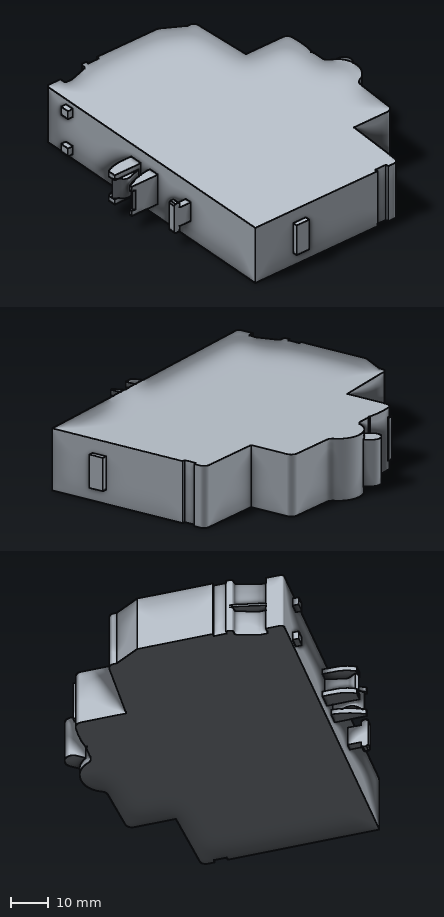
import cadquery as cq

TOTAL_LENGTH = 90.7
THICKNESS = 17.8
MID_Z = THICKNESS / 2
TAB_DEPTH = 1.45
HOUSING_RIGHT = TOTAL_LENGTH - TAB_DEPTH

SHOULDER_Y = 50.5
SHOULDER_DROP = 1.1
CENTRE_LEFT = 24.2
CENTRE_RIGHT = 69.3
CENTRE_TOP = 64.85
CENTRE_RIGHT_TOP = 65.4
CENTRE_DROP = 1.45
BEVEL_X = 4.0
BEVEL_LOW_Y = 40.1
BEVEL_HIGH_Y = 47.0
COVER_END_X = 34.3
COVER_BULGE = 0.45
COVER_STEP = 0.4
COVER_GAP = 0.8

DOME_X = 46.7
DOME_Y = 63.2
DOME_RADIUS = 6.8
HANDLE_TIP_X = 41.2
HANDLE_TIP_Y = 70.4
HANDLE_RADIUS = 2.4
HANDLE_WIDTH = 13.3

GROOVE_DEPTH = 0.9
GROOVE_HEIGHT = 3.6
LEFT_GROOVE_Y = 15.4
RIGHT_GROOVE_Y = 42.2

FOOT_LEFT = 2.0
RECESS_FLOOR_X = 4.0
RECESS_LOW_Y = 4.9
RECESS_BEND_Y = 7.3
RECESS_TOP_Y = 13.5
RIB_THICKNESS = 0.7
RIB_Z = 8.5
RIB_TOP_Y = 14.5

RADIUS_FOOT = 1.0
RADIUS_RECESS_LOW = 0.4
RADIUS_RECESS_TOP = 0.8
RADIUS_TOOTH = 0.8
RADIUS_CENTRE = 2.0
RADIUS_SHOULDER = 1.7
RADIUS_DOME = 2.0

TAB_Y = 13.1
TAB_HEIGHT = 4.35
TAB_WIDTH = 9.5
INDICATOR_X = 25.1
INDICATOR_LENGTH = 1.45
INDICATOR_TOP = 65.6
INDICATOR_HEIGHT = 2.0
INDICATOR_WIDTH = 12.3
PEG_X = 10.25
PEG_LENGTH = 2.9
PEG_DEPTH = 1.7
PEG_WIDTH = 2.5
PEG_SPACING = 12.0

CLIP_WIDTH = 9.4
CLIP_INNER_WIDTH = 6.2
PLATE_THICKNESS = (CLIP_WIDTH - CLIP_INNER_WIDTH) / 2
PLATE_DEPTH = 9.1
LEAF_DEPTH = 9.2
ROOT = 0.9

SLIDE_X = 60.2
SLIDE_THICKNESS = 2.1
SLIDE_DEPTH = 5.7
SLIDE_HEAD_DEPTH = 1.9
SLIDE_HEAD_WIDTH = 9.4
SLIDE_STEM_WIDTH = 6.0
SLIDE_CHAMFER = 0.45


def box(x, y, z, length, height, width):
    """Box with its lowest corner at x, y, z."""
    return cq.Workplane("XY").box(length, height, width, centered=False).translate((x, y, z))


def centred_box(x, y, length, height, width):
    """Box placed symmetrically about the mid-plane."""
    return box(x, y, MID_Z - width / 2, length, height, width)


def round_corner(solid, x, y, radius):
    """Round the Z-parallel edge nearest to x, y."""
    corner = cq.NearestToPointSelector((x, y, THICKNESS / 2))
    return solid.edges("|Z").edges(corner).fillet(radius)


def housing():
    """Flat moulded body with its dome, rounded corners, recess and end grooves."""
    shoulder_end_y = SHOULDER_Y - SHOULDER_DROP
    centre_end_y = CENTRE_RIGHT_TOP - CENTRE_DROP
    cover_mid_x = (CENTRE_LEFT + COVER_END_X) / 2
    body = (
        cq.Workplane("XY")
        .moveTo(FOOT_LEFT, 0)
        .lineTo(HOUSING_RIGHT, 0)
        .lineTo(HOUSING_RIGHT, shoulder_end_y)
        .lineTo(CENTRE_RIGHT, SHOULDER_Y)
        .lineTo(CENTRE_RIGHT, centre_end_y)
        .lineTo(DOME_X, CENTRE_RIGHT_TOP)
        .lineTo(DOME_X, CENTRE_TOP)
        .lineTo(COVER_END_X + COVER_GAP, CENTRE_TOP)
        .lineTo(COVER_END_X, CENTRE_TOP - COVER_STEP)
        .lineTo(COVER_END_X, CENTRE_TOP)
        .threePointArc((cover_mid_x, CENTRE_TOP + COVER_BULGE), (CENTRE_LEFT, CENTRE_TOP))
        .lineTo(CENTRE_LEFT, SHOULDER_Y)
        .lineTo(BEVEL_X, shoulder_end_y)
        .lineTo(BEVEL_X, BEVEL_HIGH_Y)
        .lineTo(0, BEVEL_LOW_Y)
        .lineTo(0, RECESS_TOP_Y)
        .lineTo(FOOT_LEFT, RECESS_TOP_Y)
        .lineTo(RECESS_FLOOR_X, RECESS_BEND_Y)
        .lineTo(RECESS_FLOOR_X, RECESS_LOW_Y)
        .lineTo(FOOT_LEFT, RECESS_LOW_Y)
        .close()
        .extrude(THICKNESS)
    )
    dome = cq.Workplane("XY").center(DOME_X, DOME_Y).circle(DOME_RADIUS).extrude(THICKNESS)
    body = body.union(dome)

    for side in (-1, 1):
        body = round_corner(body, DOME_X + side * DOME_RADIUS, CENTRE_TOP, RADIUS_DOME)
    for x, y, radius in (
        (FOOT_LEFT, 0, RADIUS_FOOT),
        (RECESS_FLOOR_X, RECESS_LOW_Y, RADIUS_RECESS_LOW),
        (FOOT_LEFT, RECESS_TOP_Y, RADIUS_RECESS_TOP),
        (0, RECESS_TOP_Y, RADIUS_TOOTH),
        (BEVEL_X, shoulder_end_y, RADIUS_SHOULDER),
        (HOUSING_RIGHT, shoulder_end_y, RADIUS_SHOULDER),
        (CENTRE_LEFT, CENTRE_TOP, RADIUS_CENTRE),
        (CENTRE_RIGHT, centre_end_y, RADIUS_CENTRE),
    ):
        body = round_corner(body, x, y, radius)

    left_groove = box(0, LEFT_GROOVE_Y, 0, GROOVE_DEPTH, GROOVE_HEIGHT, THICKNESS)
    right_groove = box(
        HOUSING_RIGHT - GROOVE_DEPTH, RIGHT_GROOVE_Y, 0, GROOVE_DEPTH, GROOVE_HEIGHT, THICKNESS
    )
    return body.cut(left_groove).cut(right_groove)


def recess_rib():
    """Thin wall that divides the recess into an upper and a lower half."""
    outline = [
        (0, RIB_TOP_Y),
        (0, RECESS_TOP_Y),
        (FOOT_LEFT, RECESS_LOW_Y),
        (RECESS_FLOOR_X + ROOT, RECESS_LOW_Y),
        (RECESS_FLOOR_X + ROOT, RIB_TOP_Y),
    ]
    rib = cq.Workplane("XY").polyline(outline).close().extrude(RIB_THICKNESS)
    return rib.translate((0, 0, RIB_Z - RIB_THICKNESS / 2))


def handle():
    """Toggle lever pointing from the dome centre, with a round tip."""
    reach = cq.Vector(HANDLE_TIP_X - DOME_X, HANDLE_TIP_Y - DOME_Y)
    direction = reach.normalized()
    across = cq.Vector(-direction.y, direction.x) * HANDLE_RADIUS
    tip = cq.Vector(HANDLE_TIP_X, HANDLE_TIP_Y)
    base = cq.Vector(DOME_X, DOME_Y)
    crown = tip + direction * HANDLE_RADIUS
    return (
        cq.Workplane("XY")
        .workplane(offset=MID_Z - HANDLE_WIDTH / 2)
        .moveTo(*(base - across).toTuple()[:2])
        .lineTo(*(tip - across).toTuple()[:2])
        .threePointArc(crown.toTuple()[:2], (tip + across).toTuple()[:2])
        .lineTo(*(base + across).toTuple()[:2])
        .close()
        .extrude(HANDLE_WIDTH)
    )


def clip(plate_profile, leaf_profile):
    """Two side plates with a barbed leaf between them, from closed XY profiles."""
    bottom_z = MID_Z - CLIP_WIDTH / 2
    leaf_z = bottom_z + PLATE_THICKNESS
    side_plate = plate_profile.extrude(PLATE_THICKNESS)
    leaf = leaf_profile.extrude(CLIP_INNER_WIDTH)
    return (
        leaf.translate((0, 0, leaf_z))
        .union(side_plate.translate((0, 0, bottom_z)))
        .union(side_plate.translate((0, 0, leaf_z + CLIP_INNER_WIDTH)))
    )


def left_clip():
    """Clip with its barb towards +X."""
    plate_left = 37.5
    plate_right = 41.5
    leaf_left = 39.7
    plate_profile = (
        cq.Workplane("XY")
        .moveTo(plate_left, ROOT)
        .lineTo(plate_left, -3.3)
        .threePointArc((37.8, -6.3), (39.0, -PLATE_DEPTH))
        .lineTo(plate_right, -PLATE_DEPTH)
        .lineTo(plate_right, ROOT)
        .close()
    )
    leaf_profile = (
        cq.Workplane("XY")
        .moveTo(leaf_left, ROOT)
        .lineTo(leaf_left, 0)
        .lineTo(41.0, -4.9)
        .threePointArc((41.1, -5.8), (40.8, -6.6))
        .lineTo(leaf_left, -8.4)
        .lineTo(40.5, -LEAF_DEPTH)
        .lineTo(42.2, -7.2)
        .threePointArc((43.0, -5.9), (42.9, -4.8))
        .lineTo(plate_right, -0.7)
        .lineTo(plate_right, ROOT)
        .close()
    )
    return clip(plate_profile, leaf_profile)


def right_clip():
    """Clip with its barb towards -X, facing the other one."""
    plate_left = 45.3
    clip_right = 48.6
    leaf_left = 46.8
    plate_profile = (
        cq.Workplane("XY")
        .moveTo(plate_left, ROOT)
        .lineTo(plate_left, -0.7)
        .threePointArc((46.1, -4.9), (47.8, -PLATE_DEPTH))
        .lineTo(clip_right, -PLATE_DEPTH)
        .lineTo(clip_right, ROOT)
        .close()
    )
    leaf_profile = (
        cq.Workplane("XY")
        .moveTo(leaf_left, ROOT)
        .lineTo(leaf_left, 0)
        .lineTo(45.35, -4.3)
        .threePointArc((45.3, -5.7), (46.3, -7.2))
        .lineTo(48.1, -8.4)
        .lineTo(clip_right, -7.7)
        .lineTo(clip_right, ROOT)
        .close()
    )
    return clip(plate_profile, leaf_profile)


def slide():
    """Narrow stem that carries a wider, chamfered head."""
    head = centred_box(SLIDE_X, -SLIDE_DEPTH, SLIDE_THICKNESS, SLIDE_HEAD_DEPTH, SLIDE_HEAD_WIDTH)
    head = head.edges("|X").chamfer(SLIDE_CHAMFER)
    stem_depth = SLIDE_DEPTH - SLIDE_HEAD_DEPTH / 2
    stem = centred_box(SLIDE_X, -stem_depth, SLIDE_THICKNESS, stem_depth + ROOT, SLIDE_STEM_WIDTH)
    return head.union(stem)


def pegs():
    """Two small locating blocks, mirrored about the mid-plane."""
    pair = cq.Workplane("XY")
    for side in (-1, 1):
        z = MID_Z + (side * PEG_SPACING - PEG_WIDTH) / 2
        pair = pair.union(box(PEG_X, -PEG_DEPTH, z, PEG_LENGTH, PEG_DEPTH + ROOT, PEG_WIDTH))
    return pair


tab = centred_box(HOUSING_RIGHT - ROOT, TAB_Y, TAB_DEPTH + ROOT, TAB_HEIGHT, TAB_WIDTH)
indicator = centred_box(
    INDICATOR_X, INDICATOR_TOP - INDICATOR_HEIGHT, INDICATOR_LENGTH, INDICATOR_HEIGHT, INDICATOR_WIDTH
)

result = housing()
for feature in (
    recess_rib(), handle(), tab, indicator, pegs(), left_clip(), right_clip(), slide()
):
    result = result.union(feature)